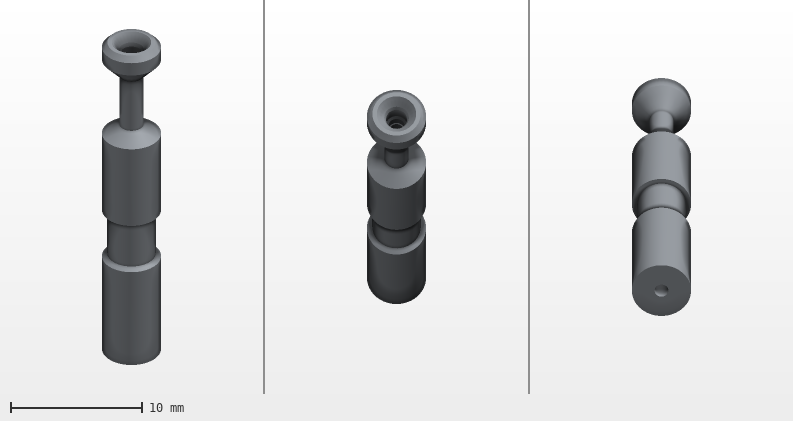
import cadquery as cq

total_height = 28.0
body_radius = 4.5 / 2
stem_radius = 1.85 / 2
waist_radius = 3.7 / 2

lower_body_top = 8.75
lower_body_cone_height = 0.25
waist_top = 12.7
upper_body_top = 19.7
stem_bottom = 20.52
stem_top = 25.0
head_rim_bottom = 26.45
head_chamfer = 0.42

bore_radius = 1.05 / 2
neck_bore_radius = 1.25 / 2
counterbore_radius = 1.6 / 2
inner_cone_radius = 1.88 / 2
countersink_radius = 3.0 / 2
countersink_depth = 0.65
counterbore_top_depth = 0.92
counterbore_depth = 1.95
counterbore_cone_height = 0.17
neck_bore_depth = 2.8


def turned(profile):
    """Revolve a closed (radius, height) profile about the Z axis."""
    return cq.Workplane("XZ").polyline(profile).close().revolve(360, (0, 0), (0, 1))


def make_outside():
    return turned([
        (0, 0),
        (body_radius, 0),
        (body_radius, lower_body_top - lower_body_cone_height),
        (waist_radius, lower_body_top),
        (waist_radius, waist_top),
        (body_radius, waist_top),
        (body_radius, upper_body_top),
        (stem_radius, stem_bottom),
        (stem_radius, stem_top),
        (body_radius, head_rim_bottom),
        (body_radius, total_height - head_chamfer),
        (body_radius - head_chamfer, total_height),
        (0, total_height),
    ])


def make_passage():
    return turned([
        (0, 0),
        (bore_radius, 0),
        (bore_radius, total_height - neck_bore_depth),
        (neck_bore_radius, total_height - neck_bore_depth),
        (neck_bore_radius, total_height - counterbore_depth - counterbore_cone_height),
        (counterbore_radius, total_height - counterbore_depth),
        (counterbore_radius, total_height - counterbore_top_depth),
        (inner_cone_radius, total_height - countersink_depth),
        (countersink_radius, total_height),
        (0, total_height),
    ])


result = make_outside().cut(make_passage())